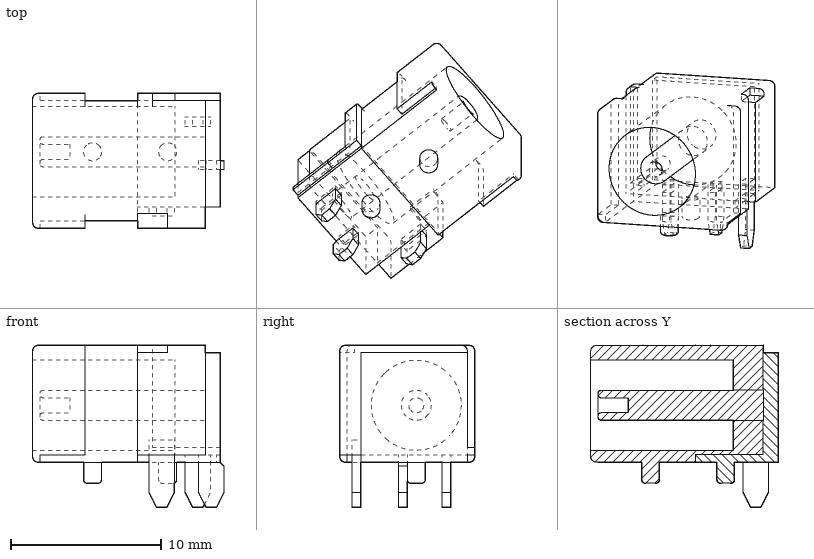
import cadquery as cq


HOUSING_LENGTH = 11.5
WIDTH = 9.0
HEIGHT = 7.8
Y_MIN = -5.1
Y_MAX = Y_MIN + WIDTH
EDGE_RADIUS = 0.4

WALL_STEP = 0.5
FRONT_LIP = 0.5
WAIST_START = 3.5
WAIST_END = 7.0
POCKET_LENGTH = 2.0
POCKET_DEPTH = 1.0
BACK_RECESS_START = 8.0
SHELF_BOTTOM = WALL_STEP
SHELF_TOP = 1.0
INNER_Y_MIN = Y_MIN + WALL_STEP
INNER_Y_MAX = Y_MAX - WALL_STEP

AXIS_Z = 3.8
BORE_DIAMETER = 6.0
BORE_DEPTH = 9.5
PIN_DIAMETER = 2.0
PIN_TIP_X = 0.5
PIN_HOLE_DIAMETER = 1.0
PIN_HOLE_DEPTH = 2.0
PIN_TIP_RADIUS = 0.2

BASE_START = WAIST_END
BASE_END = 12.5
BASE_SIDE_SETBACK = 1.42
BASE_Y_MIN = Y_MIN + BASE_SIDE_SETBACK
BASE_Y_MAX = INNER_Y_MAX
FLOOR_THICKNESS = WALL_STEP
BACK_PLATE_HEIGHT = HEIGHT - WALL_STEP
FLANGE_START = 9.5

POST_DIAMETER = 1.2
POST_LENGTH = 1.4
POST_TIP_RADIUS = 0.25
FRONT_POST_X = 4.0
REAR_POST_X = 9.0

BLADE_WIDTH = 1.7
BLADE_THICKNESS = 0.6
BLADE_LENGTH = 3.0
TAPER_LENGTH = 1.0
TAPER_INSET = 0.5
SIDE_TERMINAL_X = 7.75
SIDE_TERMINAL_Y = BASE_Y_MIN - BLADE_THICKNESS
SIDE_TERMINAL_TOP = 1.5
REAR_OVERHANG = 0.25
REAR_TERMINAL_X = BASE_END + REAR_OVERHANG - BLADE_WIDTH
REAR_TERMINAL_Y = -1.19
INNER_TERMINAL_X = 10.15
INNER_TERMINAL_Y = 1.7


def block(x_min, x_max, y_min, y_max, z_min, z_max):
    """Rectangular block between the given limits."""
    return cq.Workplane("XY").box(
        x_max - x_min, y_max - y_min, z_max - z_min, centered=False
    ).translate((x_min, y_min, z_min))


def barrel_cylinder(diameter, x_start, x_end):
    """Cylinder on the barrel axis."""
    return (
        cq.Workplane("YZ", origin=(x_start, 0, AXIS_Z))
        .circle(diameter / 2)
        .extrude(x_end - x_start)
    )


def post(x):
    """Locating post hanging from the underside, with a rounded tip."""
    return (
        cq.Workplane("XY", origin=(x, 0, 0))
        .circle(POST_DIAMETER / 2)
        .extrude(-POST_LENGTH)
        .faces("<Z")
        .edges()
        .fillet(POST_TIP_RADIUS)
    )


def terminal(x_left, y_near, z_top, rear_chamfer=0.0):
    """Flat blade with a tapered tip; a rear chamfer narrows the part above the underside."""
    x_right = x_left + BLADE_WIDTH
    outline = [
        (x_left, z_top),
        (x_left, TAPER_LENGTH - BLADE_LENGTH),
        (x_left + TAPER_INSET, -BLADE_LENGTH),
        (x_right - TAPER_INSET, -BLADE_LENGTH),
        (x_right, TAPER_LENGTH - BLADE_LENGTH),
    ]
    if rear_chamfer:
        outline.append((x_right, -rear_chamfer))
        outline.append((x_right - rear_chamfer, 0))
        outline.append((x_right - 2 * rear_chamfer, 0))
        outline.append((x_right - 2 * rear_chamfer, z_top))
    else:
        outline.append((x_right, z_top))
    return (
        cq.Workplane("XZ", origin=(0, y_near, 0))
        .polyline(outline)
        .close()
        .extrude(-BLADE_THICKNESS)
    )


def housing_stretch(x_min, x_max, y_min, y_max):
    """Full-height stretch of the housing with its long top edges rounded."""
    return block(x_min, x_max, y_min, y_max, 0, HEIGHT).edges("|X and >Z").fillet(EDGE_RADIUS)


def housing_front():
    """Full-width front of the housing, rounded along its length and round the mating face."""
    envelope = block(0, WAIST_START, Y_MIN, Y_MAX, 0, HEIGHT)
    return envelope.edges("<X or |X").fillet(EDGE_RADIUS)


def housing_rear():
    """Full-width rear of the housing, cut away on the +Y side above a low shelf."""
    rear = housing_stretch(WAIST_END, HOUSING_LENGTH, Y_MIN, Y_MAX)
    recess = block(BACK_RECESS_START, HOUSING_LENGTH, 0, Y_MAX, SHELF_TOP, HEIGHT)
    return rear.cut(recess)


side_terminal = terminal(SIDE_TERMINAL_X, SIDE_TERMINAL_Y, SIDE_TERMINAL_TOP)
rear_terminal = terminal(REAR_TERMINAL_X, REAR_TERMINAL_Y, FLOOR_THICKNESS, REAR_OVERHANG)
inner_terminal = terminal(INNER_TERMINAL_X, INNER_TERMINAL_Y, FLOOR_THICKNESS)

pin = barrel_cylinder(PIN_DIAMETER, PIN_TIP_X, HOUSING_LENGTH)
pin = pin.cut(barrel_cylinder(PIN_HOLE_DIAMETER, PIN_TIP_X, PIN_TIP_X + PIN_HOLE_DEPTH))
pin = pin.faces("<X").edges().fillet(PIN_TIP_RADIUS)

base = block(BASE_START, BASE_END, BASE_Y_MIN, BASE_Y_MAX, 0, FLOOR_THICKNESS)
base = base.union(block(HOUSING_LENGTH, BASE_END, BASE_Y_MIN, BASE_Y_MAX, 0, BACK_PLATE_HEIGHT))
base = base.union(block(FLANGE_START, BASE_END, BASE_Y_MAX, Y_MAX, SHELF_BOTTOM, SHELF_TOP))
base = base.union(post(REAR_POST_X))
base = base.cut(rear_terminal).cut(inner_terminal)

housing = housing_front()
housing = housing.union(housing_stretch(WAIST_START, HOUSING_LENGTH, INNER_Y_MIN, INNER_Y_MAX))
housing = housing.union(housing_rear())

for y_low in (Y_MIN, INNER_Y_MAX):
    housing = housing.cut(
        block(FRONT_LIP, HOUSING_LENGTH, y_low, y_low + WALL_STEP, 0, SHELF_BOTTOM)
    )

housing = housing.cut(
    block(BASE_START, HOUSING_LENGTH, Y_MIN, BASE_Y_MIN, 0, FLOOR_THICKNESS)
)

housing = housing.cut(
    block(
        WAIST_END, WAIST_END + POCKET_LENGTH,
        Y_MIN, Y_MIN + POCKET_DEPTH,
        HEIGHT - WALL_STEP, HEIGHT,
    )
)

housing = housing.cut(barrel_cylinder(BORE_DIAMETER, 0, BORE_DEPTH))
housing = housing.union(post(FRONT_POST_X))

for inserted_body in (base, pin, side_terminal, rear_terminal, inner_terminal):
    housing = housing.cut(inserted_body)

result = cq.Compound.makeCompound([
    housing.val(),
    base.val(),
    pin.val(),
    side_terminal.val(),
    rear_terminal.val(),
    inner_terminal.val(),
])